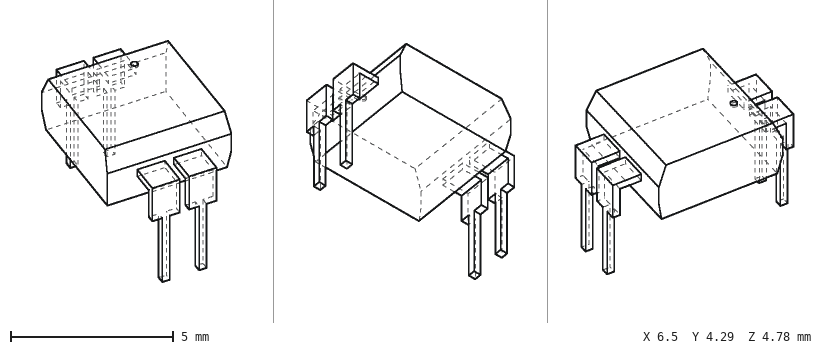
import cadquery as cq

span_x = 6.5
body_x = 4.45
body_y = 4.29
total_z = 4.78

body_bottom_z = 2.665
band_bottom_z = 3.39
band_top_z = 4.07
top_inset_x = 0.305
bottom_inset_x = 0.14
inset_y = 0.08

lead_thickness = 0.26
lead_width = 0.95
lead_pitch = 1.27
pin_width = 0.26
lead_top_z = 3.85
shoulder_z = 2.535

mark_diameter = 0.22
mark_depth = 0.065
mark_x = -1.39
mark_y = 0.64


def tapered_half(start_z, end_z, inset_x):
    """Loft from the full band outline to a smaller rectangle at end_z."""
    return (
        cq.Workplane("XY")
        .workplane(offset=start_z)
        .rect(body_x, body_y)
        .workplane(offset=end_z - start_z)
        .rect(body_x - 2 * inset_x, body_y - 2 * inset_y)
        .loft(ruled=True)
    )


def make_mark():
    return (
        cq.Workplane("XY")
        .workplane(offset=total_z - mark_depth)
        .center(mark_x, mark_y)
        .circle(mark_diameter / 2)
        .extrude(mark_depth)
    )


def make_housing(mark):
    band = (
        cq.Workplane("XY")
        .workplane(offset=band_bottom_z)
        .rect(body_x, body_y)
        .extrude(band_top_z - band_bottom_z)
    )
    upper = tapered_half(band_top_z, total_z, top_inset_x)
    lower = tapered_half(band_bottom_z, body_bottom_z, bottom_inset_x)
    return band.union(upper).union(lower).cut(mark)


def make_lead(side, y):
    """One bent lead on the given X side (-1 or 1), centred on y."""
    outer_x = side * span_x / 2
    inner_x = side * (span_x / 2 - lead_thickness)
    housing_x = side * body_x / 2
    under_z = lead_top_z - lead_thickness
    shoulder = (
        cq.Workplane("XZ", origin=(0, y, 0))
        .moveTo(outer_x, shoulder_z)
        .lineTo(outer_x, lead_top_z)
        .lineTo(housing_x, lead_top_z)
        .lineTo(housing_x, under_z)
        .lineTo(inner_x, under_z)
        .lineTo(inner_x, shoulder_z)
        .close()
        .extrude(lead_width / 2, both=True)
    )
    pin = (
        cq.Workplane("XY")
        .center((outer_x + inner_x) / 2, y)
        .rect(lead_thickness, pin_width)
        .extrude(shoulder_z)
    )
    return shoulder.union(pin)


mark = make_mark()
housing = make_housing(mark)
leads = []
for side in (-1, 1):
    for row in (-1, 1):
        leads.append(make_lead(side, row * lead_pitch / 2))

result = cq.Compound.makeCompound([housing.val(), mark.val(), *[lead.val() for lead in leads]])